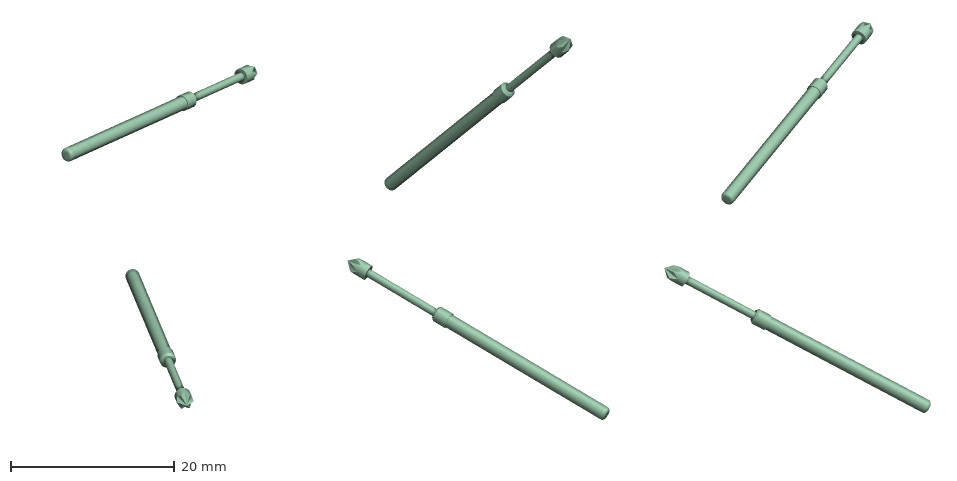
import cadquery as cq
import math

total_length = 37.8
tip_y = total_length / 2
tail_y = -total_length / 2

head_radius = 1.0
head_length = 3.02
flute_count = 6
ridge_run = head_radius
valley_run = 1.9

plunger_radius = 0.51
collar_radius = 1.0
collar_length = 1.95
collar_chamfer = 0.25
barrel_radius = 0.87
barrel_end_fillet = 0.4
barrel_length = 23.02

head_base_y = tip_y - head_length
collar_base_y = tail_y + barrel_length
collar_top_y = collar_base_y + collar_length


def cylinder_along_y(radius, start_y, end_y):
    """Solid cylinder centred on the Y axis."""
    axis_start = cq.Vector(0, start_y, 0)
    axis_direction = cq.Vector(0, 1, 0)
    return cq.Workplane(cq.Solid.makeCylinder(radius, end_y - start_y, axis_start, axis_direction))


def star_pyramid():
    """Pyramid over a star, deep enough for its sides to leave the head."""
    base_y = head_base_y
    apex = cq.Vector(0, tip_y, 0)
    corner_count = 2 * flute_count
    corners = []
    for index in range(corner_count):
        run = ridge_run if index % 2 == 0 else valley_run
        radius = head_radius * head_length / run
        angle = 2 * math.pi * index / corner_count
        corners.append(cq.Vector(radius * math.cos(angle), base_y, radius * math.sin(angle)))

    faces = [cq.Face.makeFromWires(cq.Wire.makePolygon(corners + corners[:1]))]
    for index, corner in enumerate(corners):
        next_corner = corners[(index + 1) % corner_count]
        side = cq.Wire.makePolygon([corner, next_corner, apex, corner])
        faces.append(cq.Face.makeFromWires(side))
    return cq.Workplane(cq.Solid.makeSolid(cq.Shell.makeShell(faces)))


head = cylinder_along_y(head_radius, head_base_y, tip_y).intersect(star_pyramid())

plunger = cylinder_along_y(plunger_radius, collar_top_y, head_base_y)

collar = cylinder_along_y(collar_radius, collar_base_y, collar_top_y)
collar = collar.faces(">Y").chamfer(collar_chamfer)

barrel = cylinder_along_y(barrel_radius, tail_y, collar_base_y)
barrel = barrel.faces("<Y").edges().fillet(barrel_end_fillet)

result = barrel.union(collar).union(plunger).union(head)